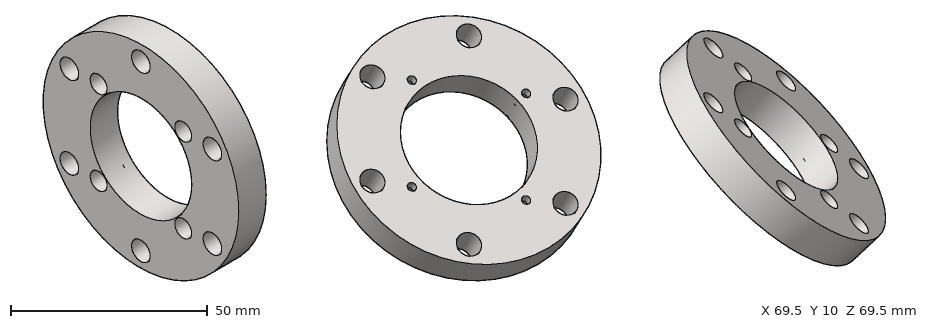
import cadquery as cq

outer_diameter = 69.5
bore_diameter = 36.0
thickness = 10.0

bolt_hole_diameter = 6.6
bolt_circle_radius = 29.3
bolt_count = 6

screw_spacing = 30.0
screw_hole_diameter = 2.35
counterbore_diameter = 6.0
counterbore_depth = 6.95


def make_disc():
    """Ring with its front face at Y = 0, facing -Y."""
    return (
        cq.Workplane("XZ")
        .circle(outer_diameter / 2)
        .circle(bore_diameter / 2)
        .extrude(-thickness)
    )


def cut_bolt_holes(body):
    """Evenly spaced through holes, the first one straight above the axis."""
    return (
        body.faces("<Y").workplane(origin=(0, 0, 0))
        .polarArray(bolt_circle_radius, 90, 360, bolt_count)
        .hole(bolt_hole_diameter)
    )


def cut_screw_holes(body):
    """Four counterbored through holes around the bore."""
    return (
        body.faces("<Y").workplane(origin=(0, 0, 0))
        .rarray(screw_spacing, screw_spacing, 2, 2)
        .cboreHole(screw_hole_diameter, counterbore_diameter, counterbore_depth)
    )


result = cut_screw_holes(cut_bolt_holes(make_disc()))